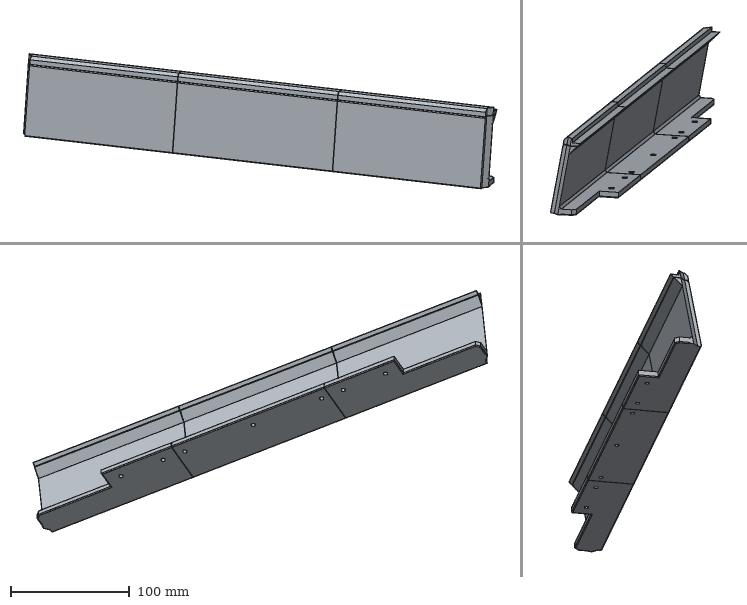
import cadquery as cq
import math

LENGTH = 423.0
HEIGHT = 67.0
DEPTH = 40.0
MIDDLE_LENGTH = 145.5
GAP = 0.5
SEAM_Z = 60.0
LEAN = math.tan(math.radians(10.4))

FACE_THICKNESS = 3.5
END_BEVEL = 4.2
WALL_THICKNESS = FACE_THICKNESS + END_BEVEL
EDGE_CHAMFER = 1.0

RAIL_TIP_Y = 27.5
RAIL_TOP_Z = 63.0

CAP_FRONT_Y = 14.5
CAP_BACK_Y = 20.5
CAP_BEVEL_DROP = 2.5
CAP_END_INSET = 0.2

FOOT_THICKNESS = 5.0
FOOT_LENGTH = 279.5
LEDGE_BACK_Y = 23.3
LEDGE_CORNER = 3.5
INNER_CORNER = 2.0

HOLE_DIAMETER = 3.5
COUNTERSINK_DIAMETER = 4.5
HOLE_Y = 30.0
HOLE_OFFSETS = (65.0, 86.0, 126.0)

TRIM_MARGIN = 4.2
SEAM_CUT_SIZE = 4 * HEIGHT


def front_y(z):
    return z * LEAN


def back_y(z):
    return front_y(z) + WALL_THICKNESS


def rail_y(z):
    """Underside of the rail, which rises at 45 degrees to the rail tip."""
    return RAIL_TIP_Y - (RAIL_TOP_Z - z)


RAIL_FOOT_Z = (RAIL_TOP_Z - RAIL_TIP_Y + WALL_THICKNESS) / (1 - LEAN)


def extrude_profile(points, length):
    return cq.Workplane("YZ").polyline(points).close().extrude(length / 2, both=True)


def end_trim(side):
    """Leaning prism that bevels one end and sets its front layer back."""
    outer_x = side * LENGTH / 2
    inner_x = outer_x - side * END_BEVEL
    clear_x = outer_x + side * TRIM_MARGIN
    clear_y = -TRIM_MARGIN
    outline = [
        (outer_x, WALL_THICKNESS),
        (inner_x, FACE_THICKNESS),
        (inner_x, clear_y),
        (clear_x, clear_y),
        (clear_x, WALL_THICKNESS),
    ]
    shifted = [(x, y + front_y(HEIGHT)) for x, y in outline]
    return (
        cq.Workplane("XY").polyline(outline).close()
        .workplane(offset=HEIGHT).polyline(shifted).close()
        .loft(ruled=True)
    )


def make_wall():
    """Full-length leaning wall with the lower part of the rail at its back."""
    upper_edge_z = SEAM_Z - EDGE_CHAMFER
    points = [
        (EDGE_CHAMFER, 0),
        (0, EDGE_CHAMFER),
        (front_y(upper_edge_z), upper_edge_z),
        (front_y(SEAM_Z) + EDGE_CHAMFER, SEAM_Z),
        (rail_y(SEAM_Z), SEAM_Z),
        (back_y(RAIL_FOOT_Z), RAIL_FOOT_Z),
        (back_y(FOOT_THICKNESS + INNER_CORNER), FOOT_THICKNESS + INNER_CORNER),
        (back_y(FOOT_THICKNESS) + INNER_CORNER, FOOT_THICKNESS),
        (back_y(FOOT_THICKNESS) + INNER_CORNER, 0),
    ]
    return extrude_profile(points, LENGTH)


def make_foot():
    """Full-length ledge with a deeper plate along its middle."""
    ledge_depth = LEDGE_BACK_Y - WALL_THICKNESS
    ledge = (
        cq.Workplane("XY", origin=(0, WALL_THICKNESS, 0))
        .box(LENGTH, ledge_depth, FOOT_THICKNESS, centered=(True, False, False))
        .edges("|Z and >Y").chamfer(LEDGE_CORNER)
        .faces("<Z").edges("not <Y").chamfer(EDGE_CHAMFER)
    )
    plate = (
        cq.Workplane("XY", origin=(0, WALL_THICKNESS, 0))
        .box(FOOT_LENGTH, DEPTH - WALL_THICKNESS, FOOT_THICKNESS, centered=(True, False, False))
        .faces("<Z").edges("not <Y").chamfer(EDGE_CHAMFER)
    )
    return ledge.union(plate)


def make_cap_strip():
    """Full-length strip that tops the panels and forms the upper part of the rail."""
    low_z = SEAM_Z + GAP
    bevel_z = HEIGHT - CAP_BEVEL_DROP
    points = [
        (front_y(low_z), low_z),
        (front_y(bevel_z), bevel_z),
        (CAP_FRONT_Y, HEIGHT),
        (CAP_BACK_Y, HEIGHT),
        (CAP_BACK_Y, RAIL_TOP_Z),
        (RAIL_TIP_Y, RAIL_TOP_Z),
        (rail_y(low_z), low_z),
    ]
    return extrude_profile(points, LENGTH - 2 * CAP_END_INSET)


def make_hole_cutter():
    """Through holes widening to a 45 degree countersink at the top of the foot."""
    sink_depth = (COUNTERSINK_DIAMETER - HOLE_DIAMETER) / 2
    points = [(0, HOLE_Y)]
    for offset in HOLE_OFFSETS:
        points += [(-offset, HOLE_Y), (offset, HOLE_Y)]
    shafts = cq.Workplane("XY").pushPoints(points).circle(HOLE_DIAMETER / 2).extrude(FOOT_THICKNESS)
    sinks = (
        cq.Workplane("XY", origin=(0, 0, FOOT_THICKNESS)).pushPoints(points)
        .circle(COUNTERSINK_DIAMETER / 2).extrude(-sink_depth, taper=45)
    )
    return shafts.union(sinks)


def split_at_seams(strip):
    """Cut a full-length strip into its left, middle and right bodies."""
    seam_x = MIDDLE_LENGTH / 2
    for x in (-seam_x, seam_x):
        strip = strip.cut(cq.Workplane("XY", origin=(x, 0, 0)).box(GAP, SEAM_CUT_SIZE, SEAM_CUT_SIZE))
    return strip.solids().vals()


end_trims = end_trim(-1).union(end_trim(1))
panels = split_at_seams(make_wall().union(make_foot()).cut(make_hole_cutter()).cut(end_trims))
caps = split_at_seams(make_cap_strip().cut(end_trims))

result = cq.Compound.makeCompound([*panels, *caps])